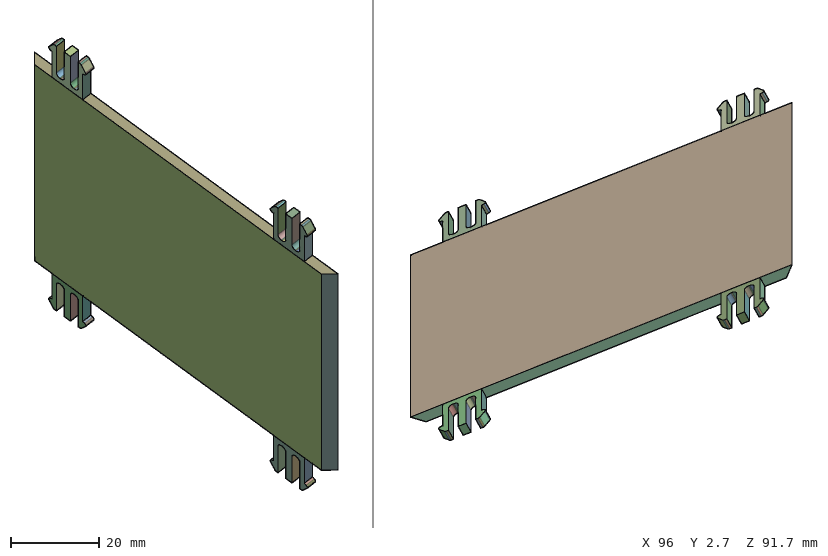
import cadquery as cq

plate_width = 96.0
plate_height = 68.0
thickness = 2.7
side_bevel = thickness

overall_height = 91.7
clip_spacing = 70.0
clip_length = (overall_height - plate_height) / 2
clip_width = 9.8
post_width = 2.0
slot_width = 2.4
slot_floor = 1.6
slot_corner_radius = 1.1

barb_overhang = 1.3
barb_base = 8.8
barb_tip_height = 9.3
arm_tip_width = 0.9
barb_edge_radius = 0.6


def make_plate():
    half_width = plate_width / 2
    half_thickness = thickness / 2
    section = [
        (-half_width, half_thickness),
        (half_width, half_thickness),
        (half_width - side_bevel, -half_thickness),
        (-half_width + side_bevel, -half_thickness),
    ]
    return (
        cq.Workplane("XY")
        .workplane(offset=-plate_height / 2)
        .polyline(section)
        .close()
        .extrude(plate_height)
    )


def make_clip():
    """Clip standing on the XY plane, centred on X and Y, pointing up."""
    half_width = clip_width / 2
    arm_inner_face = post_width / 2 + slot_width
    right_side = [
        (half_width, 0),
        (half_width, barb_base),
        (half_width + barb_overhang, barb_tip_height),
        (arm_inner_face + arm_tip_width, clip_length),
    ]
    left_side = [(-x, z) for x, z in reversed(right_side)]
    blank = (
        cq.Workplane("XZ")
        .polyline(right_side + left_side)
        .close()
        .extrude(thickness / 2, both=True)
    )
    barb_edges = cq.selectors.BoxSelector(
        (-clip_width, -thickness, (barb_base + barb_tip_height) / 2),
        (clip_width, thickness, 2 * clip_length),
    )
    blank = blank.edges("|Y").edges(barb_edges).fillet(barb_edge_radius)
    return blank.cut(make_slot(1)).cut(make_slot(-1))


def make_slot(side):
    """Slot with a rounded floor between the centre post and the arm on the given side."""
    slot_height = clip_length - slot_floor
    center_x = side * (post_width + slot_width) / 2
    return (
        cq.Workplane("XY")
        .box(slot_width, thickness, slot_height, centered=(True, True, False))
        .edges("|Y and <Z")
        .fillet(slot_corner_radius)
        .translate((center_x, 0, slot_floor))
    )


plate = make_plate()

clips = []
for x in (-clip_spacing / 2, clip_spacing / 2):
    top_clip = make_clip().translate((x, 0, plate_height / 2))
    bottom_clip = top_clip.mirror("XY")
    clips += [top_clip.val(), bottom_clip.val()]

result = cq.Compound.makeCompound([plate.val(), *clips])